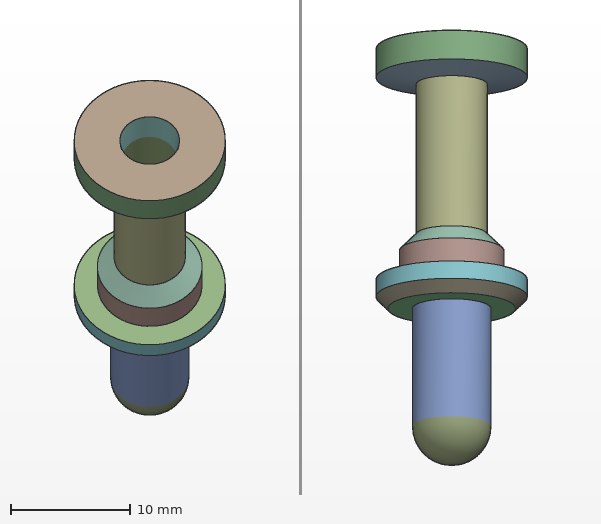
import cadquery as cq
import math

total_length = 36.0

head_diameter = 12.7
head_rim_thickness = 2.5
head_underside_angle = 10.0

neck_diameter = 6.0

shoulder_diameter = 8.8
shoulder_height = 2.5

flange_diameter = head_diameter
flange_thickness = 2.5
flange_chamfer = 1.0
flange_top_depth = 20.0

pin_diameter = 6.6

hole_mouth_diameter = 5.0
hole_taper_depth = 2.5
hole_diameter = 4.5
hole_depth = 10.0
hole_point_angle = 118.0

head_radius = head_diameter / 2
neck_radius = neck_diameter / 2
shoulder_radius = shoulder_diameter / 2
flange_radius = flange_diameter / 2
pin_radius = pin_diameter / 2
hole_mouth_radius = hole_mouth_diameter / 2
hole_radius = hole_diameter / 2

head_rim_bottom = total_length - head_rim_thickness
head_cone_height = (head_radius - neck_radius) * math.tan(math.radians(head_underside_angle))
neck_top = head_rim_bottom - head_cone_height
flange_top = total_length - flange_top_depth
flange_bottom = flange_top - flange_thickness
shoulder_top = flange_top + shoulder_height
neck_bottom = shoulder_top + (shoulder_radius - neck_radius)


def revolve_about_z(profile):
    """Turn a closed half profile, drawn in the XZ plane, about the Z axis."""
    return profile.close().revolve(360, (0, 0, 0), (0, 1, 0))


def make_body():
    """Solid turned body from the rounded pin tip up to the head."""
    tip_arc_angle = math.radians(45)
    tip_arc_middle = (
        pin_radius * math.sin(tip_arc_angle),
        pin_radius * (1 - math.cos(tip_arc_angle)),
    )
    profile = (
        cq.Workplane("XZ")
        .moveTo(0, 0)
        .threePointArc(tip_arc_middle, (pin_radius, pin_radius))
        .lineTo(pin_radius, flange_bottom)
        .lineTo(flange_radius - flange_chamfer, flange_bottom)
        .lineTo(flange_radius, flange_bottom + flange_chamfer)
        .lineTo(flange_radius, flange_top)
        .lineTo(shoulder_radius, flange_top)
        .lineTo(shoulder_radius, shoulder_top)
        .lineTo(neck_radius, neck_bottom)
        .lineTo(neck_radius, neck_top)
        .lineTo(head_radius, head_rim_bottom)
        .lineTo(head_radius, total_length)
        .lineTo(0, total_length)
    )
    return revolve_about_z(profile)


def make_hole():
    """Cutter for the blind hole: tapered mouth, straight bore, conical bottom."""
    taper_bottom = total_length - hole_taper_depth
    bore_bottom = total_length - hole_depth
    point_height = hole_radius / math.tan(math.radians(hole_point_angle / 2))
    profile = (
        cq.Workplane("XZ")
        .moveTo(0, bore_bottom - point_height)
        .lineTo(hole_radius, bore_bottom)
        .lineTo(hole_radius, taper_bottom)
        .lineTo(hole_mouth_radius, total_length)
        .lineTo(0, total_length)
    )
    return revolve_about_z(profile)


result = make_body().cut(make_hole())